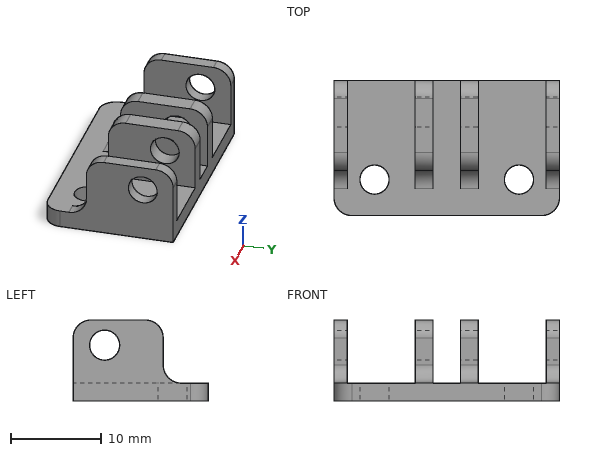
import cadquery as cq

base_width = 25.0
base_depth = 15.0
base_thickness = 2.0
base_corner_radius = 2.0
screw_hole_diameter = 3.2
screw_hole_spacing = 16.0
screw_hole_from_front = 4.0

total_height = 9.0
lug_depth = 10.0
lug_corner_radius = 2.0
lug_root_radius = 2.0
outer_lug_thickness = 1.5
inner_lug_thickness = 2.0
inner_lug_gap = 3.0
pin_hole_diameter = 3.3
pin_from_back = 3.5
pin_height = 6.2


def make_base():
    """Plate with rounded front corners and two screw holes."""
    plate = (
        cq.Workplane("XY")
        .box(base_width, base_depth, base_thickness, centered=(True, False, False))
        .translate((0, -base_depth, 0))
        .edges("|Z and <Y")
        .fillet(base_corner_radius)
    )
    screw_hole_x = screw_hole_spacing / 2
    screw_hole_y = screw_hole_from_front - base_depth
    screw_holes = (
        cq.Workplane("XY")
        .pushPoints([(-screw_hole_x, screw_hole_y), (screw_hole_x, screw_hole_y)])
        .circle(screw_hole_diameter / 2)
        .extrude(base_thickness)
    )
    return plate.cut(screw_holes)


def make_lug(start_x, thickness):
    """Lug with rounded top corners and a concave root blending into the plate."""
    front_y = -lug_depth
    root_top_z = base_thickness + lug_root_radius
    return (
        cq.Workplane("YZ", origin=(start_x, 0, 0))
        .moveTo(0, 0)
        .lineTo(0, total_height - lug_corner_radius)
        .radiusArc((-lug_corner_radius, total_height), -lug_corner_radius)
        .lineTo(front_y + lug_corner_radius, total_height)
        .radiusArc((front_y, total_height - lug_corner_radius), -lug_corner_radius)
        .lineTo(front_y, root_top_z)
        .radiusArc((front_y - lug_root_radius, base_thickness), lug_root_radius)
        .lineTo(front_y - lug_root_radius, 0)
        .close()
        .extrude(thickness)
    )


def make_pin_bore():
    """Cylinder along X that pierces every lug."""
    return (
        cq.Workplane("YZ", origin=(-base_width / 2, 0, 0))
        .center(-pin_from_back, pin_height)
        .circle(pin_hole_diameter / 2)
        .extrude(base_width)
    )


lugs = [
    (-base_width / 2, outer_lug_thickness),
    (-inner_lug_gap / 2 - inner_lug_thickness, inner_lug_thickness),
    (inner_lug_gap / 2, inner_lug_thickness),
    (base_width / 2 - outer_lug_thickness, outer_lug_thickness),
]

result = make_base()
for lug_start_x, lug_thickness in lugs:
    result = result.union(make_lug(lug_start_x, lug_thickness))
result = result.cut(make_pin_bore())